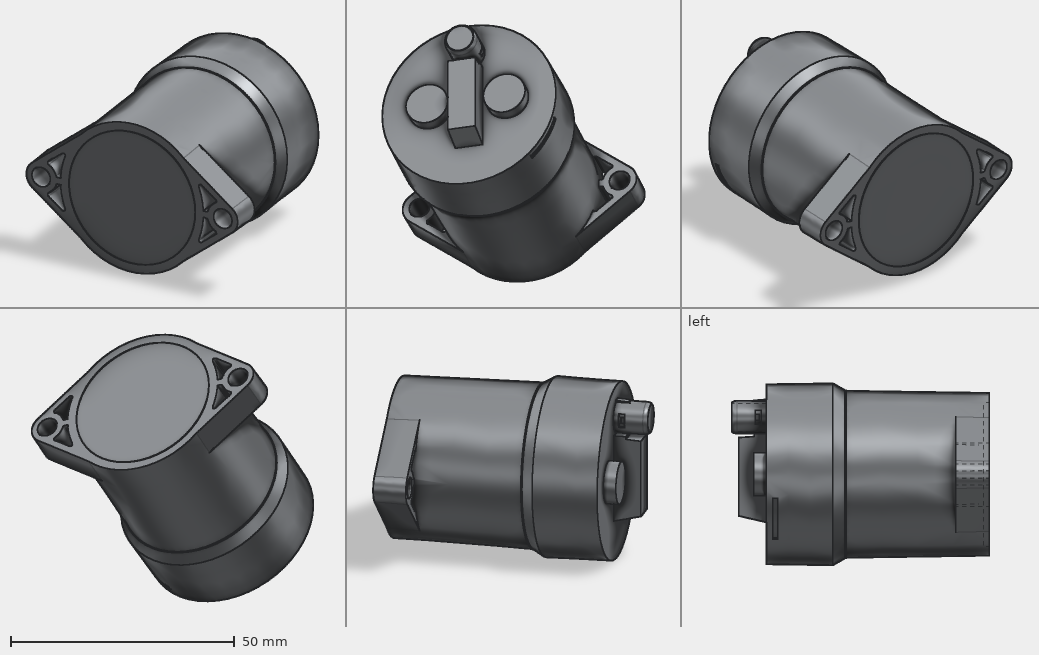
import cadquery as cq
import math


BARREL_BASE_R = 18.2
BARREL_TOP_R = 18.7
BARREL_LENGTH = 31.95
EAR_THICKNESS = 7.55
EAR_CENTRE_X = 23.2
EAR_TIP_R = 3.8
EAR_WEB_R = 18.05
EAR_DRAFT = 1.0
MOUNT_HOLE_R = 2.35

POCKET_HIGH = (16.85, 7.7)
POCKET_LOW = (18.05, 0.8)
POCKET_SIDE_END_Z = 2.9
HOLE_WEB_R = 3.95
POCKET_CORNER_R = 0.45

DISC_R = 16.1
DISC_THICKNESS = 1.15
DISC_SETBACK = 0.2

CAP_LIP_R = 18.8
CAP_LIP_WIDTH = 0.3
CAP_MAX_DIAMETER = 40.65
CAP_MAX_R = CAP_MAX_DIAMETER / 2
CAP_MAX_Y = 34.9
CAP_END_R = 20.1
CAP_END_Y = 49.75

GROOVE_START_Y = 47.25
GROOVE_WIDTH = 1.05
GROOVE_DEPTH = 0.4
GROOVE_FROM = 195.5
GROOVE_TO = 226.0

KNOB_R = 4.85
KNOB_X = 8.95
KNOB_HEIGHT = 2.9

CONNECTOR_Z = 12.75
SLEEVE_R = 3.7
CORE_R = 3.1
CONNECTOR_END_Y = 57.5
SLEEVE_END_R = 3.2
SLEEVE_ROUND_LENGTH = 1.1
WINDOW_Y = 50.9
WINDOW_WIDTH = 1.4
WINDOW_HEIGHT = 3.15
CORE_NOTCH_WIDTH = 0.9
CORE_NOTCH_HEIGHT = 1.4
CORE_NOTCH_DEPTH = 0.3

KEY_WIDTH = 1.95
KEY_TOP = 3.95
KEY_EDGE_Y = 52.6
KEY_EDGE_TOP = 3.75
KEY_END_Y = 53.15
KEY_END_TOP = 3.45

BLOCK_WIDTH = 6.3
BLOCK_END_Y = 55.95
BLOCK_STEP_Y = 52.5
BLOCK_STEP_TOP = 8.45
BLOCK_END_TOP = 8.2
BLOCK_END_BOTTOM = -9.3
BLOCK_BASE_BOTTOM = -10.75


def plane_at(y):
    """Plane across the main axis: local x is X, local y is Z, extrudes towards +Y."""
    return cq.Plane(origin=(0, y, 0), xDir=(1, 0, 0), normal=(0, -1, 0))


def cylinder(radius, start_y, end_y, x=0, z=0):
    return cq.Workplane(plane_at(start_y)).center(x, z).circle(radius).extrude(start_y - end_y)


def turned(profile):
    """Solid of revolution about Y from (radius, y) points."""
    return cq.Workplane("XY").polyline(profile).close().revolve(360, (0, 0, 0), (0, 1, 0))


def ear_plate():
    """Both ears as one drafted plate: tip arcs joined by tangents to a central circle."""
    normal = math.acos((EAR_WEB_R - EAR_TIP_R) / EAR_CENTRE_X)
    tip_x = EAR_CENTRE_X + EAR_TIP_R * math.cos(normal)
    tip_z = EAR_TIP_R * math.sin(normal)
    web_x = EAR_WEB_R * math.cos(normal)
    web_z = EAR_WEB_R * math.sin(normal)
    end_x = EAR_CENTRE_X + EAR_TIP_R
    outline = (
        cq.Workplane(cq.Plane(origin=(0, 0, 0), xDir=(1, 0, 0), normal=(0, 1, 0)))
        .moveTo(web_x, web_z)
        .lineTo(tip_x, tip_z)
        .threePointArc((end_x, 0), (tip_x, -tip_z))
        .lineTo(web_x, -web_z)
        .threePointArc((0, -EAR_WEB_R), (-web_x, -web_z))
        .lineTo(-tip_x, -tip_z)
        .threePointArc((-end_x, 0), (-tip_x, tip_z))
        .lineTo(-web_x, web_z)
        .threePointArc((0, EAR_WEB_R), (web_x, web_z))
        .close()
    )
    return outline.extrude(EAR_THICKNESS, taper=-EAR_DRAFT)


def ear_pocket():
    """Rounded pocket through the upper half of the +X ear, hollowed round the mounting hole."""
    return (
        cq.Workplane(plane_at(0))
        .polyline([
            POCKET_HIGH,
            (EAR_CENTRE_X, POCKET_SIDE_END_Z),
            (EAR_CENTRE_X, POCKET_LOW[1]),
            POCKET_LOW,
        ])
        .close()
        .extrude(-EAR_THICKNESS)
        .cut(cylinder(HOLE_WEB_R, 0, EAR_THICKNESS, x=EAR_CENTRE_X))
        .edges("|Y")
        .fillet(POCKET_CORNER_R)
    )


def make_housing():
    barrel = turned([(0, 0), (BARREL_BASE_R, 0), (BARREL_TOP_R, BARREL_LENGTH), (0, BARREL_LENGTH)])
    ears = ear_plate()
    upper_pocket = ear_pocket()
    lower_pocket = upper_pocket.mirror("XY")
    for pocket in (upper_pocket, lower_pocket):
        ears = ears.cut(pocket).cut(pocket.mirror("YZ"))
    for side in (-1, 1):
        ears = ears.cut(cylinder(MOUNT_HOLE_R, 0, EAR_THICKNESS, x=side * EAR_CENTRE_X))
    disc_recess = cylinder(DISC_R, 0, DISC_SETBACK + DISC_THICKNESS)
    return barrel.union(ears).cut(disc_recess)


def make_end_disc():
    return cylinder(DISC_R, DISC_SETBACK, DISC_SETBACK + DISC_THICKNESS)


def side_groove():
    """Ring sector that leaves an arc-shaped groove in the cap side."""
    floor_r = CAP_END_R - GROOVE_DEPTH
    outer_r = CAP_MAX_R + GROOVE_DEPTH
    ring = (
        cq.Workplane("XY")
        .moveTo(floor_r, GROOVE_START_Y)
        .rect(outer_r - floor_r, GROOVE_WIDTH, centered=False)
        .revolve(GROOVE_TO - GROOVE_FROM, (0, 0, 0), (0, -1, 0))
    )
    return ring.rotate((0, 0, 0), (0, -1, 0), GROOVE_FROM)


def make_cap():
    body = turned([
        (0, BARREL_LENGTH),
        (CAP_LIP_R, BARREL_LENGTH),
        (CAP_LIP_R, BARREL_LENGTH + CAP_LIP_WIDTH),
        (CAP_MAX_R, CAP_MAX_Y),
        (CAP_END_R, CAP_END_Y),
        (0, CAP_END_Y),
    ])
    return body.cut(side_groove())


def make_knob(x):
    return cylinder(KNOB_R, CAP_END_Y, CAP_END_Y + KNOB_HEIGHT, x=x)


def sleeve_key():
    """Sloping key with a steeper end, standing on top of the sleeve."""
    return (
        cq.Workplane("YZ")
        .polyline([
            (CAP_END_Y, CONNECTOR_Z + CORE_R),
            (CAP_END_Y, CONNECTOR_Z + KEY_TOP),
            (KEY_EDGE_Y, CONNECTOR_Z + KEY_EDGE_TOP),
            (KEY_END_Y, CONNECTOR_Z + KEY_END_TOP),
            (KEY_END_Y, CONNECTOR_Z + CORE_R),
        ])
        .close()
        .extrude(KEY_WIDTH / 2, both=True)
    )


def make_sleeve():
    """Tube with a rounded end, a key on top and a window through each side."""
    wall = (
        cq.Workplane("XY")
        .moveTo(CORE_R, CAP_END_Y)
        .lineTo(SLEEVE_R, CAP_END_Y)
        .lineTo(SLEEVE_R, CONNECTOR_END_Y - SLEEVE_ROUND_LENGTH)
        .tangentArcPoint((SLEEVE_END_R, CONNECTOR_END_Y), relative=False)
        .lineTo(CORE_R, CONNECTOR_END_Y)
        .close()
        .revolve(360, (0, 0, 0), (0, 1, 0))
        .translate((0, 0, CONNECTOR_Z))
    )
    bore = cylinder(CORE_R, CAP_END_Y, CONNECTOR_END_Y, z=CONNECTOR_Z)
    windows = cq.Workplane("XY").box(2 * SLEEVE_R, WINDOW_WIDTH, WINDOW_HEIGHT)
    windows = windows.translate((0, WINDOW_Y + WINDOW_WIDTH / 2, CONNECTOR_Z))
    return wall.union(sleeve_key().cut(bore)).cut(windows)


def make_core():
    """Round core that fills the sleeve, with a small notch behind each window."""
    core = cylinder(CORE_R, CAP_END_Y, CONNECTOR_END_Y, z=CONNECTOR_Z)
    notch_y = WINDOW_Y + WINDOW_WIDTH - CORE_NOTCH_WIDTH / 2
    for side in (-1, 1):
        notch = cq.Workplane("XY").box(2 * CORE_NOTCH_DEPTH, CORE_NOTCH_WIDTH, CORE_NOTCH_HEIGHT)
        core = core.cut(notch.translate((side * CORE_R, notch_y, CONNECTOR_Z)))
    return core


def make_block():
    """Stepped block whose low step just reaches the underside of the sleeve."""
    sleeve_underside = CONNECTOR_Z - SLEEVE_R
    return (
        cq.Workplane("YZ")
        .polyline([
            (CAP_END_Y, BLOCK_BASE_BOTTOM),
            (CAP_END_Y, sleeve_underside),
            (BLOCK_STEP_Y, sleeve_underside),
            (BLOCK_STEP_Y, BLOCK_STEP_TOP),
            (BLOCK_END_Y, BLOCK_END_TOP),
            (BLOCK_END_Y, BLOCK_END_BOTTOM),
        ])
        .close()
        .extrude(BLOCK_WIDTH / 2, both=True)
    )


housing = make_housing()
end_disc = make_end_disc()
cap = make_cap()
sleeve = make_sleeve()
core = make_core()
block = make_block()
knobs = [make_knob(side * KNOB_X) for side in (-1, 1)]

result = cq.Compound.makeCompound([
    housing.val(),
    end_disc.val(),
    cap.val(),
    sleeve.val(),
    core.val(),
    block.val(),
    *[knob.val() for knob in knobs],
])